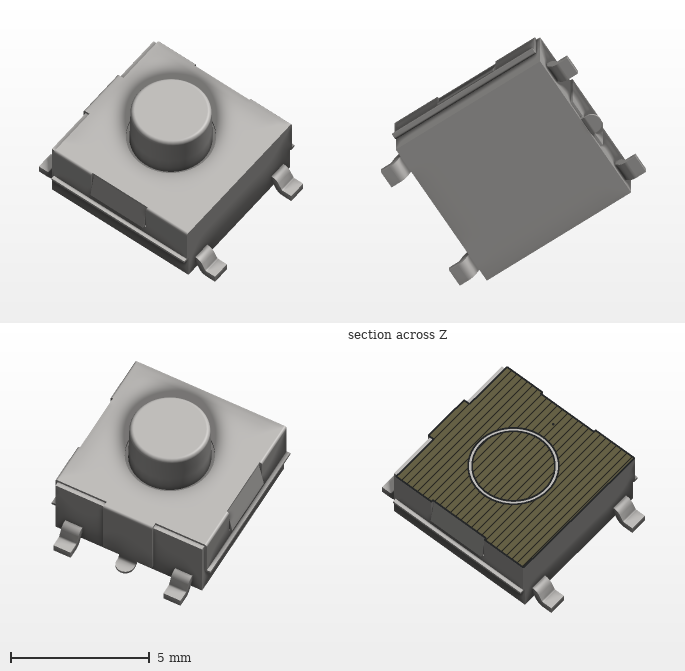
import cadquery as cq
import math


base_length = 6.2
base_width = 6
base_half_length = base_length / 2
base_half_width = base_width / 2
base_bottom = 0.1

cover_width = 6.2
cover_half_width = cover_width / 2
sheet = cover_half_width - base_half_width
cover_top = 2.7
base_top = cover_top - sheet
cover_left = -2.93
button_hole_diameter = 3.25
flange_half_width = 3.25
flange_bottom = 1.1

window_half_length = 1.25
window_bottom = 1.6
barb_half_length = 1.19
barb_reach = 0.2

tongue_width = 2
tongue_bottom = 0.3
foot_width = 0.7
foot_tip = -3.72
foot_bend_radius = sheet

button_base_diameter = 3.0
button_top_diameter = 2.92
button_top = 4.3
button_rounding = 0.15

lead_tip = 4
lead_thickness = 0.3
lead_width = 0.7
lead_spacing = 4.5
lead_top = 0.75
lead_slope = math.radians(60)
shoulder_start = 3.12
shoulder_inner_radius = 0.03
ankle_inner_radius = 0.07


def box(x_range, y_range, z_range):
    """Block spanning the given (low, high) ranges."""
    size = [high - low for low, high in (x_range, y_range, z_range)]
    corner = (x_range[0], y_range[0], z_range[0])
    return cq.Workplane("XY").box(*size, centered=False).translate(corner)


def on_circle(center, radius, angle):
    """Point on a circle at an angle in radians."""
    return (center[0] + radius * math.cos(angle), center[1] + radius * math.sin(angle))


def make_base():
    return box(
        (-base_half_length, base_half_length),
        (-base_half_width, base_half_width),
        (base_bottom, base_top),
    )


def make_roof():
    """Top sheet of the cover with the clearance hole around the button."""
    roof = box(
        (cover_left, base_half_length),
        (-base_half_width, base_half_width),
        (base_top, cover_top),
    )
    hole = cq.Workplane("XY").workplane(offset=base_top).circle(button_hole_diameter / 2).extrude(sheet)
    return roof.cut(hole)


def make_side():
    """Cover wall on the +Y side: rounded top bend, outward flange, window and snap barb."""
    length = base_half_length - cover_left
    wall = (
        cq.Workplane("YZ", origin=(cover_left, 0, 0))
        .moveTo(base_half_width, cover_top)
        .radiusArc((cover_half_width, base_top), sheet)
        .lineTo(cover_half_width, flange_bottom + sheet)
        .lineTo(flange_half_width, flange_bottom + sheet)
        .lineTo(flange_half_width, flange_bottom)
        .lineTo(cover_half_width, flange_bottom)
        .radiusArc((base_half_width, flange_bottom + sheet), sheet)
        .close()
        .extrude(length)
    )
    window = box(
        (-window_half_length, window_half_length),
        (base_half_width, cover_half_width),
        (window_bottom, cover_top),
    )
    barb = (
        cq.Workplane("YZ", origin=(-barb_half_length, 0, 0))
        .moveTo(base_half_width, base_top)
        .lineTo(base_half_width + barb_reach, window_bottom)
        .lineTo(base_half_width, window_bottom)
        .close()
        .extrude(2 * barb_half_length)
    )
    return wall.cut(window).union(barb)


def make_tongue():
    """Ground tongue bent down the -X end of the base."""
    outer = -base_half_length - sheet
    return (
        cq.Workplane("XZ", origin=(0, tongue_width / 2, 0))
        .moveTo(cover_left, cover_top)
        .lineTo(-base_half_length, cover_top)
        .radiusArc((outer, base_top), -sheet)
        .lineTo(outer, tongue_bottom)
        .lineTo(-base_half_length, tongue_bottom)
        .lineTo(-base_half_length, base_top)
        .lineTo(cover_left, base_top)
        .close()
        .extrude(tongue_width)
    )


def make_foot():
    """Narrow end of the tongue, bent outward and rounded at its tip."""
    inner = -base_half_length
    outer = inner - sheet
    bend_x = outer - foot_bend_radius
    bend_z = sheet + foot_bend_radius
    tip_radius = foot_width / 2
    tip_center = foot_tip + tip_radius
    strip = (
        cq.Workplane("XZ", origin=(0, foot_width / 2, 0))
        .moveTo(inner, tongue_bottom)
        .lineTo(inner, bend_z)
        .radiusArc((bend_x, 0), foot_bend_radius + sheet)
        .lineTo(tip_center, 0)
        .lineTo(tip_center, sheet)
        .lineTo(bend_x, sheet)
        .radiusArc((outer, bend_z), -foot_bend_radius)
        .lineTo(outer, tongue_bottom)
        .close()
        .extrude(foot_width)
    )
    tip = cq.Workplane("XY").center(tip_center, 0)
    tip = tip.circle(tip_radius).extrude(sheet)
    tip = tip.intersect(box((foot_tip, tip_center), (-tip_radius, tip_radius), (0, sheet)))
    return strip.union(tip)


def make_button():
    """Slightly tapered round button with a rounded top edge."""
    button = (
        cq.Workplane("XZ")
        .moveTo(0, base_top)
        .lineTo(button_base_diameter / 2, base_top)
        .lineTo(button_top_diameter / 2, button_top)
        .lineTo(0, button_top)
        .close()
        .revolve(360, (0, 0, 0), (0, 1, 0))
    )
    return button.faces(">Z").edges().fillet(button_rounding)


def make_lead():
    """Gull-wing lead on the +X end, centered on Y = 0."""
    shoulder_outer_radius = shoulder_inner_radius + lead_thickness
    ankle_outer_radius = ankle_inner_radius + lead_thickness
    lead_underside = lead_top - lead_thickness
    shoulder = (shoulder_start, lead_top - shoulder_outer_radius)

    reach = shoulder_outer_radius + ankle_inner_radius
    drop = shoulder[1] + reach * math.cos(lead_slope) - ankle_outer_radius
    run = drop / math.tan(lead_slope)
    ankle = (shoulder_start + reach * math.sin(lead_slope) + run, ankle_outer_radius)

    up = math.pi / 2
    shoulder_end = up - lead_slope
    shoulder_mid = up - lead_slope / 2
    ankle_end = shoulder_end + math.pi
    ankle_mid = shoulder_mid + math.pi
    return (
        cq.Workplane("XZ", origin=(0, lead_width / 2, 0))
        .moveTo(base_half_length, lead_top)
        .lineTo(shoulder_start, lead_top)
        .threePointArc(
            on_circle(shoulder, shoulder_outer_radius, shoulder_mid),
            on_circle(shoulder, shoulder_outer_radius, shoulder_end),
        )
        .lineTo(*on_circle(ankle, ankle_inner_radius, ankle_end))
        .threePointArc(on_circle(ankle, ankle_inner_radius, ankle_mid), (ankle[0], lead_thickness))
        .lineTo(lead_tip, lead_thickness)
        .lineTo(lead_tip, 0)
        .lineTo(ankle[0], 0)
        .threePointArc(
            on_circle(ankle, ankle_outer_radius, ankle_mid),
            on_circle(ankle, ankle_outer_radius, ankle_end),
        )
        .lineTo(*on_circle(shoulder, shoulder_inner_radius, shoulder_end))
        .threePointArc(
            on_circle(shoulder, shoulder_inner_radius, shoulder_mid),
            (shoulder_start, lead_underside),
        )
        .lineTo(base_half_length, lead_underside)
        .close()
        .extrude(lead_width)
    )


result = make_base().union(make_roof()).union(make_tongue()).union(make_foot()).union(make_button())

side = make_side()
result = result.union(side).union(side.mirror("XZ"))

lead = make_lead()
for end_lead in (lead, lead.mirror("YZ")):
    for y in (-lead_spacing / 2, lead_spacing / 2):
        result = result.union(end_lead.translate((0, y, 0)))